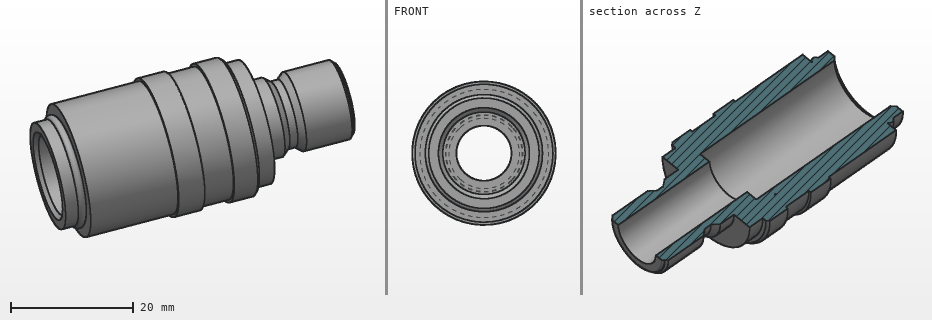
import cadquery as cq
import math

length = 51.0

lip_radius = 9.05
bead_radius = 9.6
body_radius = 11.25
ring_diameter = 23.5
ring_radius = ring_diameter / 2
collar_radius = 10.5
stem_radius = 6.75
groove_radius = 5.75
tip_radius = 6.2

bead_start = 2.2
body_start = 3.55
lower_ring_start = 18.6
upper_ring_start = 28.2
ring_width = 4.5
collar_start = upper_ring_start + ring_width
stem_start = 35.6
groove_start = 38.65
groove_floor_width = 1.4
groove_flank_length = 1.15
tip_height = 0.35

upper_ring_bevel = 0.45
stem_bevel = 0.4

through_radius = 4.5
socket_radius = 6.75
socket_depth = 30.6
mouth_radius = 7.45
mouth_bevel_length = 0.7


def turned_outside():
    """Revolve the stepped outside, drawn as radius against Y."""
    groove_floor_start = groove_start + groove_flank_length
    groove_floor_end = groove_floor_start + groove_floor_width
    groove_end = groove_floor_end + groove_flank_length
    bead_middle = (bead_start + body_start) / 2
    tip_inset = tip_height * (1 - math.sqrt(0.5))
    shoulder_end = length - tip_height
    lower_ring_end = lower_ring_start + ring_width

    profile = (
        cq.Workplane("XY")
        .lineTo(lip_radius, 0)
        .lineTo(lip_radius, bead_start)
        .threePointArc((bead_radius, bead_middle), (lip_radius, body_start))
        .lineTo(body_radius, body_start)
        .lineTo(body_radius, lower_ring_start)
        .lineTo(ring_radius, lower_ring_start)
        .lineTo(ring_radius, lower_ring_end)
        .lineTo(body_radius, lower_ring_end)
        .lineTo(body_radius, upper_ring_start)
        .lineTo(ring_radius, upper_ring_start)
        .lineTo(ring_radius, collar_start - upper_ring_bevel)
        .lineTo(ring_radius - upper_ring_bevel, collar_start)
        .lineTo(collar_radius, collar_start)
        .lineTo(collar_radius, stem_start)
        .lineTo(stem_radius, stem_start)
        .lineTo(stem_radius, groove_start)
        .lineTo(groove_radius, groove_floor_start)
        .lineTo(groove_radius, groove_floor_end)
        .lineTo(stem_radius, groove_end)
        .lineTo(stem_radius, shoulder_end - stem_bevel)
        .lineTo(stem_radius - stem_bevel, shoulder_end)
        .lineTo(tip_radius, shoulder_end)
        .threePointArc((tip_radius - tip_inset, length - tip_inset), (tip_radius - tip_height, length))
        .lineTo(0, length)
        .close()
    )
    return profile.revolve(360, (0, 0), (0, 1))


def stepped_bore():
    """Bevelled socket mouth, socket, and the narrower hole through the plug."""
    profile = (
        cq.Workplane("XY")
        .lineTo(mouth_radius, 0)
        .lineTo(socket_radius, mouth_bevel_length)
        .lineTo(socket_radius, socket_depth)
        .lineTo(through_radius, socket_depth)
        .lineTo(through_radius, length)
        .lineTo(0, length)
        .close()
    )
    return profile.revolve(360, (0, 0), (0, 1))


result = turned_outside().cut(stepped_bore())